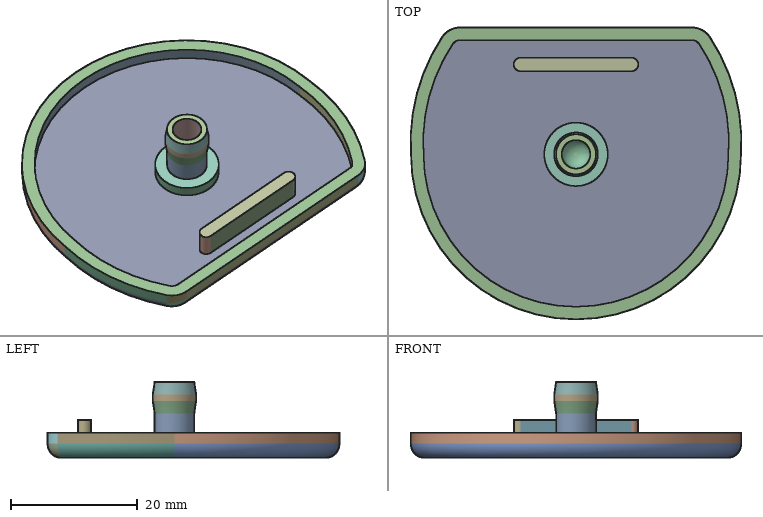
import cadquery as cq
import math

front_radius = 26.0
side_radius = 30.0
straight_edge_y = 20.0
straight_edge_half_length = 20.0
corner_radius = 3.5

rim_height = 4.0
floor_thickness = 2.0
rim_width = 2.0
bottom_round = 2.25

bar_length = 19.6
bar_width = 2.1
bar_center_y = 14.15
bar_top = 6.0

collar_diameter = 10.0
collar_top = 3.75
post_diameter = 6.3
bulge_diameter = 6.9
bulge_start = 7.0
bulge_full_start = 9.0
bulge_full_end = 10.0
post_top = 12.0

bore_diameter = 4.5
bore_bottom = floor_thickness
bore_bottom_round = 2.0


def right_side_arc_center():
    """Center of the side arc from the end of the half disc to the straight edge's corner."""
    across = front_radius - straight_edge_half_length
    chord = math.hypot(across, straight_edge_y)
    middle_x = (front_radius + straight_edge_half_length) / 2
    middle_y = straight_edge_y / 2
    center_distance = math.sqrt(side_radius**2 - (chord / 2) ** 2)
    center_x = middle_x - center_distance * straight_edge_y / chord
    center_y = middle_y - center_distance * across / chord
    return center_x, center_y


def lid_prism(inset, base, top):
    """Prism of the lid outline moved inwards by inset, between two heights."""
    half_width = front_radius - inset
    arc_radius = side_radius - inset
    edge_y = straight_edge_y - inset
    center_x, center_y = right_side_arc_center()
    edge_x = center_x + math.sqrt(arc_radius**2 - (edge_y - center_y) ** 2)
    return (
        cq.Workplane("XY")
        .workplane(offset=base)
        .moveTo(half_width, 0)
        .radiusArc((edge_x, edge_y), -arc_radius)
        .lineTo(-edge_x, edge_y)
        .radiusArc((-half_width, 0), -arc_radius)
        .threePointArc((0, -half_width), (half_width, 0))
        .close()
        .extrude(top - base)
        .edges("|Z and >Y")
        .fillet(corner_radius - inset)
    )


def lid():
    """Shallow tray with a rounded lower edge."""
    body = lid_prism(0, 0, rim_height).faces("<Z").edges().fillet(bottom_round)
    return body.cut(lid_prism(rim_width, floor_thickness, rim_height))


def bar():
    """Upright bar with round ends standing on the floor."""
    return (
        cq.Workplane("XY")
        .workplane(offset=floor_thickness)
        .center(0, bar_center_y)
        .slot2D(bar_length, bar_width)
        .extrude(bar_top - floor_thickness)
    )


def post():
    """Collar and bulged post, turned about the Z axis."""
    collar_r = collar_diameter / 2
    post_r = post_diameter / 2
    bulge_r = bulge_diameter / 2
    return (
        cq.Workplane("XZ")
        .moveTo(0, floor_thickness)
        .lineTo(collar_r, floor_thickness)
        .lineTo(collar_r, collar_top)
        .lineTo(post_r, collar_top)
        .lineTo(post_r, bulge_start)
        .lineTo(bulge_r, bulge_full_start)
        .lineTo(bulge_r, bulge_full_end)
        .lineTo(post_r, post_top)
        .lineTo(0, post_top)
        .close()
        .revolve(360, (0, 0, 0), (0, 1, 0))
    )


def bore():
    """Blind bore along the post, its bottom edge rounded."""
    return (
        cq.Workplane("XY")
        .workplane(offset=bore_bottom)
        .circle(bore_diameter / 2)
        .extrude(post_top - bore_bottom)
        .faces("<Z")
        .edges()
        .fillet(bore_bottom_round)
    )


result = lid().union(bar()).union(post()).cut(bore())